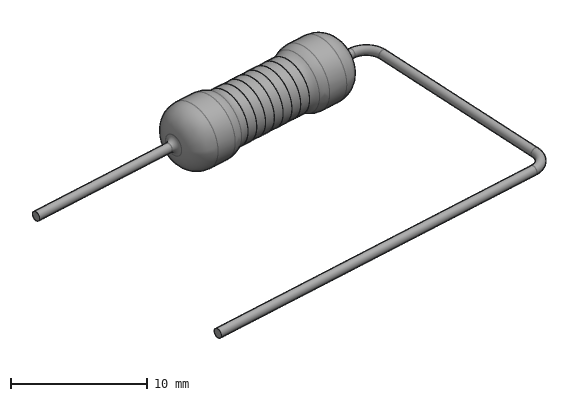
import cadquery as cq
import math

wire_diameter = 0.8
wire_radius = wire_diameter / 2
lead_spacing = 20.0
total_length = 33.1
bend_radius = 1.62

cap_radius = 5.5 / 2
waist_radius = 4.67 / 2
band_radius = 4.7 / 2
body_middle = 21.8
cap_length = 1.7
shoulder_length = 1.62
dome_radius = 1.92
flare_radius = 0.5

band_count = 4
segment_count = 2 * band_count - 1
waist_length = 6.05
band_width = waist_length / segment_count

waist_end = waist_length / 2
cap_start = waist_end + shoulder_length
dome_start = cap_start + cap_length

shoulder_height = cap_radius - waist_radius
shoulder_radius = (shoulder_length**2 + shoulder_height**2) / (4 * shoulder_height)

dome_centre_radius = cap_radius - dome_radius
flare_centre_radius = wire_radius + flare_radius
centre_offset = flare_centre_radius - dome_centre_radius
centre_distance = dome_radius + flare_radius
dome_angle = math.acos(centre_offset / centre_distance)
flare_end = dome_start + centre_distance * math.sin(dome_angle)


def point_on_arc(centre, radius, angle):
    return (centre[0] + radius * math.cos(angle), centre[1] + radius * math.sin(angle))


def make_body_end():
    """Shoulder, cap, dome and flare at one end, along +Y from the end of the waist."""
    dome_centre = (dome_centre_radius, dome_start)
    flare_centre = (flare_centre_radius, flare_end)
    shoulder_middle = ((waist_radius + cap_radius) / 2, (waist_end + cap_start) / 2)
    profile = (
        cq.Workplane("XY")
        .moveTo(0, waist_end)
        .lineTo(waist_radius, waist_end)
        .radiusArc(shoulder_middle, shoulder_radius)
        .radiusArc((cap_radius, cap_start), -shoulder_radius)
        .lineTo(cap_radius, dome_start)
        .threePointArc(
            point_on_arc(dome_centre, dome_radius, dome_angle / 2),
            point_on_arc(dome_centre, dome_radius, dome_angle),
        )
        .threePointArc(
            point_on_arc(flare_centre, flare_radius, math.pi + dome_angle / 2),
            (wire_radius, flare_end),
        )
        .lineTo(0, flare_end)
        .close()
    )
    return profile.revolve(360, (0, 0, 0), (0, 1, 0))


def make_body():
    body_end = make_body_end()
    body = body_end.union(body_end.mirror("XZ"))
    for index in range(segment_count):
        is_band = index % 2 == 0
        segment_radius = band_radius if is_band else waist_radius
        segment_start = -waist_end + index * band_width
        segment = (
            cq.Workplane("XZ", origin=(0, segment_start, 0))
            .circle(segment_radius)
            .extrude(-band_width)
        )
        body = body.union(segment)
    return body.translate((0, body_middle, 0))


def make_wire():
    crossing_y = total_length - wire_radius
    bend_start_y = crossing_y - bend_radius
    path = (
        cq.Workplane("XY")
        .lineTo(0, bend_start_y)
        .tangentArcPoint((bend_radius, crossing_y), relative=False)
        .lineTo(lead_spacing - bend_radius, crossing_y)
        .tangentArcPoint((lead_spacing, bend_start_y), relative=False)
        .lineTo(lead_spacing, 0)
    )
    return cq.Workplane("XZ").circle(wire_radius).sweep(path)


result = make_body().union(make_wire())